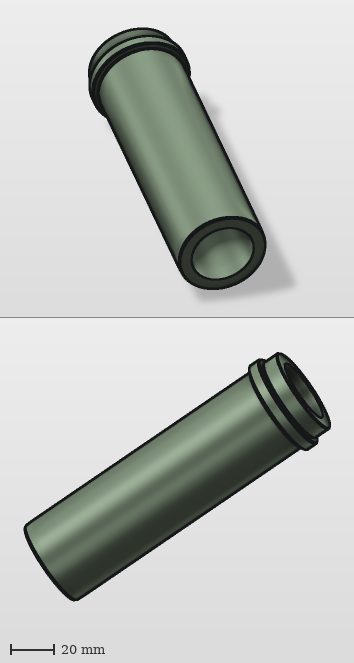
import cadquery as cq

length = 144.0
body_diameter = 42.0
bore_diameter = 30.0

collar_diameter = 47.0
collar_start = 8.6
collar_width = 6.0
collar_chamfer = 0.6

groove_width = 0.9
groove_depth = 0.5

head_chamfer = 0.5
tail_chamfer = 0.9
tail_chamfer_depth = 0.5
lead_length = 4.3
lead_reduction = 0.1

body_radius = body_diameter / 2
collar_radius = collar_diameter / 2
bore_radius = bore_diameter / 2
groove_radius = body_radius - groove_depth
lead_radius = body_radius - lead_reduction
collar_end = collar_start + collar_width
lead_start = length - lead_length


def make_sleeve():
    """Revolve the stepped wall section around the X axis."""
    section = (
        cq.Workplane("XY")
        .moveTo(0, bore_radius)
        .lineTo(0, body_radius - head_chamfer)
        .lineTo(head_chamfer, body_radius)
        .lineTo(collar_start - groove_width, body_radius)
        .lineTo(collar_start - groove_width, groove_radius)
        .lineTo(collar_start, groove_radius)
        .lineTo(collar_start, collar_radius - collar_chamfer)
        .lineTo(collar_start + collar_chamfer, collar_radius)
        .lineTo(collar_end - collar_chamfer, collar_radius)
        .lineTo(collar_end, collar_radius - collar_chamfer)
        .lineTo(collar_end, groove_radius)
        .lineTo(collar_end + groove_width, groove_radius)
        .lineTo(collar_end + groove_width, body_radius)
        .lineTo(lead_start, body_radius)
        .lineTo(length - tail_chamfer, lead_radius)
        .lineTo(length, lead_radius - tail_chamfer_depth)
        .lineTo(length, bore_radius)
        .close()
    )
    return section.revolve(360, (0, 0, 0), (1, 0, 0))


result = make_sleeve()